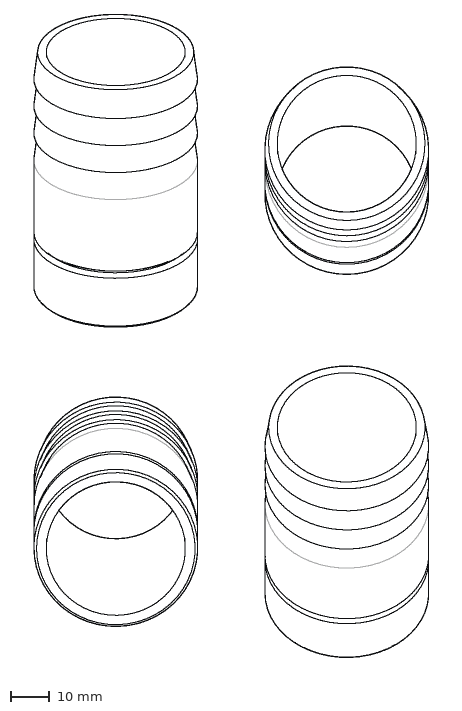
import cadquery as cq

total_height = 70.0
outer_radius = 21.2
bore_radius = 18.0
bottom_chamfer = 0.7

barb_count = 4
barb_pitch = 8.0
barb_top_radius = 20.2

groove_bottom = 14.85
groove_width = 2.1
groove_floor_width = 0.5
groove_depth = 1.5


def barbed_tube():
    """Revolve the tube wall, with conical barbs that widen downward."""
    barbs_start = total_height - barb_count * barb_pitch
    profile = (
        cq.Workplane("XZ")
        .moveTo(bore_radius, 0)
        .lineTo(outer_radius - bottom_chamfer, 0)
        .lineTo(outer_radius, bottom_chamfer)
    )
    for index in range(barb_count):
        barb_bottom = barbs_start + index * barb_pitch
        profile = profile.lineTo(outer_radius, barb_bottom)
        profile = profile.lineTo(barb_top_radius, barb_bottom + barb_pitch)
    profile = profile.lineTo(bore_radius, total_height).close()
    return profile.revolve(360, (0, 0, 0), (0, 1, 0))


def groove_ring():
    """Ring of material removed by the groove."""
    flank_height = (groove_width - groove_floor_width) / 2
    groove_top = groove_bottom + groove_width
    floor_radius = outer_radius - groove_depth
    return (
        cq.Workplane("XZ")
        .moveTo(outer_radius, groove_bottom)
        .lineTo(floor_radius, groove_bottom + flank_height)
        .lineTo(floor_radius, groove_top - flank_height)
        .lineTo(outer_radius, groove_top)
        .close()
        .revolve(360, (0, 0, 0), (0, 1, 0))
    )


result = barbed_tube().cut(groove_ring())